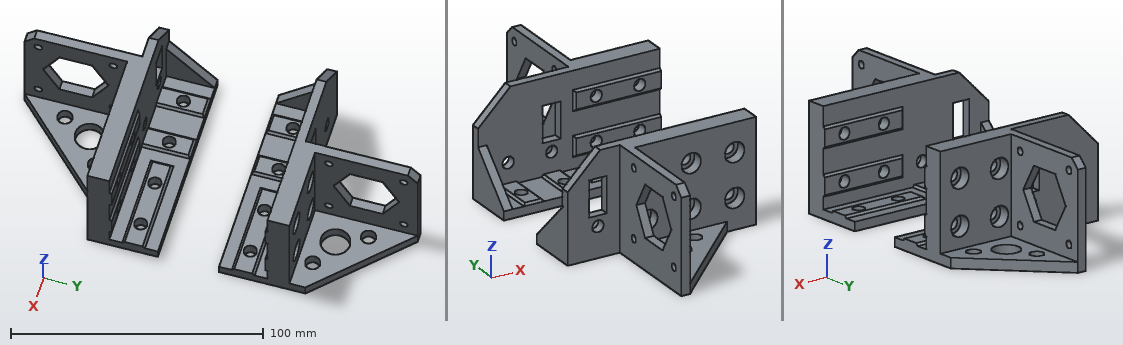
import cadquery as cq
import math

LENGTH = 84.0
HEIGHT = 47.1
HALF_SPAN = 84.2
HALF_GAP = 12.6

PLATE = 4.0
FLOOR_WIDTH = 20.0
SHELF = 4.5
WALL_CORNER = 15.0

PITCH = 20.0
FIRST_HOLE_X = 14.0
FIRST_HOLE_Z = 14.0
SCREW_DIAMETER = 5.2
COUNTERBORE_DIAMETER = 9.0

RIB_BASE = 9.5
RIB_HEIGHT = 1.0
RIB_LEAD = 10.3

MOTOR_SIZE = 42.5
MOTOR_HOLE_SPACING = 31.0
MOTOR_HOLE_DIAMETER = 3.2
HEXAGON_FLATS = 23.4
MOUNT_LEAD = 10.1
WINDOW_WIDTH = 8.2
WINDOW_HEIGHT = 16.3
WINDOW_SILL = 18.7

SHELF_HOLE_DIAMETER = 12.0
SHELF_HOLE_OFFSET = 12.0
SHELF_SCREW_DIAMETER = 6.0
SHELF_SCREW_NEAR = 6.0
SHELF_SCREW_FAR = 23.9

WALL_INNER = HALF_GAP + FLOOR_WIDTH
WALL_OUTER = WALL_INNER + PLATE
THICK_OUTER = HALF_SPAN - MOTOR_SIZE
FLOOR_HOLE_Y = HALF_GAP + FLOOR_WIDTH / 2
MOTOR_Y = HALF_SPAN - MOTOR_SIZE / 2
MOTOR_Z = HEIGHT - MOTOR_SIZE / 2
HOLE_XS = [FIRST_HOLE_X + i * PITCH for i in range(4)]
UPPER_HOLE_Z = FIRST_HOLE_Z + PITCH
RIB_START = HOLE_XS[2] - RIB_LEAD


def box(x0, x1, y0, y1, z0, z1):
    """Box between two opposite corners."""
    return cq.Workplane("XY").box(x1 - x0, y1 - y0, z1 - z0, centered=False).translate((x0, y0, z0))


def hole_along_y(x, z, diameter, y0, y1):
    """Cylinder along Y from y0 to y1."""
    return cq.Workplane("XZ", origin=(x, y0, z)).circle(diameter / 2).extrude(y0 - y1)


def hole_along_z(x, y, diameter, depth):
    """Cylinder that rises from the bottom plane."""
    return cq.Workplane("XY", origin=(x, y, 0)).circle(diameter / 2).extrude(depth)


def angle_section(mount_x):
    """Floor and wall; the wall is thicker behind the motor plate."""
    floor = box(0, LENGTH, HALF_GAP, WALL_OUTER, 0, PLATE)
    thin_wall = box(0, LENGTH, WALL_INNER, WALL_OUTER, 0, HEIGHT)
    thin_wall = thin_wall.edges("|Y and <X and >Z").chamfer(WALL_CORNER)
    thick_wall = box(mount_x, LENGTH, WALL_INNER, THICK_OUTER, 0, HEIGHT)
    return floor.union(thin_wall).union(thick_wall)


def end_gusset():
    """Triangular web that closes the -X end between floor and wall."""
    return (
        cq.Workplane("YZ")
        .moveTo(HALF_GAP, 0)
        .lineTo(HALF_GAP, PLATE)
        .lineTo(WALL_INNER, PLATE + FLOOR_WIDTH)
        .lineTo(WALL_INNER, 0)
        .close()
        .extrude(PLATE)
    )


def motor_plate(mount_x):
    """Upright plate with a hexagonal opening and four motor screw holes."""
    plate = box(mount_x, mount_x + PLATE, WALL_INNER, HALF_SPAN, 0, HEIGHT)
    plate = plate.edges("|X and >Y and >Z").chamfer(PLATE)
    face = cq.Workplane("YZ", origin=(mount_x, MOTOR_Y, MOTOR_Z))
    hexagon_corners = HEXAGON_FLATS / math.cos(math.pi / 6)
    opening = face.polygon(6, hexagon_corners).extrude(PLATE)
    screws = (
        face.rect(MOTOR_HOLE_SPACING, MOTOR_HOLE_SPACING, forConstruction=True)
        .vertices()
        .circle(MOTOR_HOLE_DIAMETER / 2)
        .extrude(PLATE)
    )
    return plate.cut(opening).cut(screws)


def shelf(mount_x):
    """Right-angled triangle between motor plate and wall, cut off at the +X end."""
    corner_x = mount_x + PLATE
    triangle = (
        cq.Workplane("XY")
        .moveTo(corner_x, THICK_OUTER)
        .lineTo(corner_x, HALF_SPAN)
        .lineTo(corner_x + HALF_SPAN - THICK_OUTER, THICK_OUTER)
        .close()
        .extrude(SHELF)
        .intersect(box(0, LENGTH, 0, HALF_SPAN, 0, HEIGHT))
    )
    holes = [
        (SHELF_HOLE_OFFSET, SHELF_HOLE_OFFSET, SHELF_HOLE_DIAMETER),
        (SHELF_SCREW_NEAR, SHELF_SCREW_FAR, SHELF_SCREW_DIAMETER),
        (SHELF_SCREW_FAR, SHELF_SCREW_NEAR, SHELF_SCREW_DIAMETER),
    ]
    for from_plate, from_wall, diameter in holes:
        triangle = triangle.cut(hole_along_z(corner_x + from_plate, THICK_OUTER + from_wall, diameter, SHELF))
    return triangle


def rib(length):
    """Rib along +X on the plane Z = 0 with tapered flanks; the end at X = 0 is tapered, the other square."""
    full = (
        cq.Workplane("YZ")
        .moveTo(-RIB_BASE / 2, 0)
        .lineTo(RIB_BASE / 2, 0)
        .lineTo(RIB_BASE / 2 - RIB_HEIGHT, RIB_HEIGHT)
        .lineTo(RIB_HEIGHT - RIB_BASE / 2, RIB_HEIGHT)
        .close()
        .extrude(length)
    )
    end_taper = (
        cq.Workplane("XZ")
        .polyline([(0, 0), (RIB_HEIGHT, RIB_HEIGHT), (0, RIB_HEIGHT)])
        .close()
        .extrude(RIB_BASE / 2, both=True)
    )
    return full.cut(end_taper)


def ribs():
    """Two crosswise and one lengthwise rib on the floor, two lengthwise ribs on the wall."""
    crosswise = rib(FLOOR_WIDTH).rotate((0, 0, 0), (0, 0, 1), 90)
    lengthwise = rib(LENGTH - RIB_START)
    upright = lengthwise.rotate((0, 0, 0), (1, 0, 0), 90)
    group = lengthwise.translate((RIB_START, FLOOR_HOLE_Y, PLATE))
    for x in HOLE_XS[:2]:
        group = group.union(crosswise.translate((x, HALF_GAP, PLATE)))
    for z in (FIRST_HOLE_Z, UPPER_HOLE_Z):
        group = group.union(upright.translate((RIB_START, WALL_INNER, z)))
    return group


def cut_screw_holes(body, mount_x):
    """Floor holes, and wall holes that are counterbored where the wall is thick."""
    for x in HOLE_XS:
        body = body.cut(hole_along_z(x, FLOOR_HOLE_Y, SCREW_DIAMETER, PLATE + RIB_HEIGHT))
    wall_holes = [(x, FIRST_HOLE_Z) for x in HOLE_XS] + [(x, UPPER_HOLE_Z) for x in HOLE_XS[2:]]
    for x, z in wall_holes:
        body = body.cut(hole_along_y(x, z, SCREW_DIAMETER, WALL_INNER - RIB_HEIGHT, THICK_OUTER))
        if x > mount_x:
            body = body.cut(hole_along_y(x, z, COUNTERBORE_DIAMETER, WALL_OUTER, THICK_OUTER))
    return body


def bracket(window_x):
    """Complete bracket on the +Y side; the motor mount follows the wall window at window_x."""
    mount_x = window_x + MOUNT_LEAD
    window = box(
        window_x - WINDOW_WIDTH / 2,
        window_x + WINDOW_WIDTH / 2,
        WALL_INNER,
        WALL_OUTER,
        WINDOW_SILL,
        WINDOW_SILL + WINDOW_HEIGHT,
    )
    body = (
        angle_section(mount_x)
        .union(end_gusset())
        .union(motor_plate(mount_x))
        .union(shelf(mount_x))
        .union(ribs())
        .cut(window)
    )
    return cut_screw_holes(body, mount_x)


front_bracket = bracket(HOLE_XS[0]).mirror("XZ")
rear_bracket = bracket(HOLE_XS[1])

result = cq.Compound.makeCompound([front_bracket.val(), rear_bracket.val()])